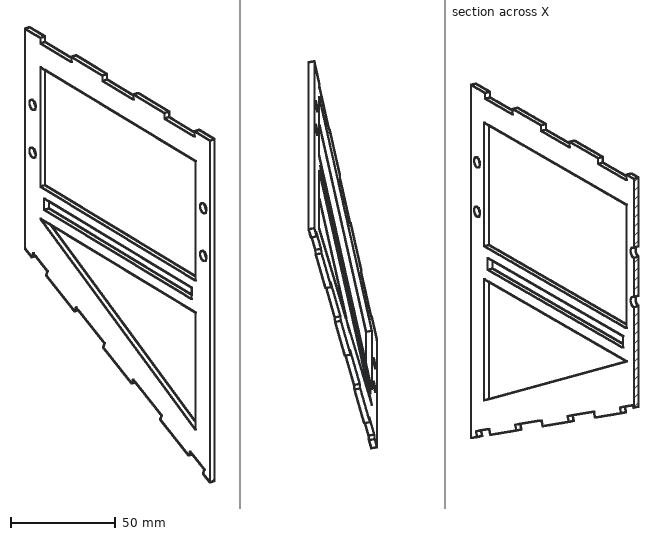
import cadquery as cq
import math

width = 151.52
right_height = 181.82
left_height = 117.0
thickness = 2.87

finger_length = 25.4
notch_depth = thickness
top_end_tab = finger_length / 2
top_notch_count = 3
slope_tab_count = 3
slope_end_notch = finger_length / 2

frame_side = 12.7
opening_width = 127.0
window_top = notch_depth + frame_side
window_height = 63.5
slot_inset = frame_side / 4
slot_top = 84.15
slot_height = 6.0
triangle_top = 96.1
triangle_height = 62.3

hole_diameter = 5.08
hole_edge_distance = 6.35
hole_span = opening_width + frame_side
hole_pitch = 25.4
upper_hole_depth = 38.1

slope_drop = right_height - left_height
slope_length = math.hypot(width, slope_drop)
slope_pattern_length = 2 * slope_tab_count * finger_length
slope_end_tab = (slope_length - slope_pattern_length) / 2
slope_angle = math.degrees(math.atan2(slope_drop, width))


def prism(points):
    """Solid through the full thickness with the given (x, z) outline."""
    return cq.Workplane("XZ").polyline(points).close().extrude(-thickness)


def box(left, right, top, height):
    """Rectangular prism whose upper side lies at a depth below the top edge."""
    return prism([(left, -top), (right, -top), (right, -top - height), (left, -top - height)])


def make_blank():
    return prism([(0, 0), (width, 0), (width, -right_height), (0, -left_height)])


def cut_top_notches(plate):
    """Finger-length notches, the last one shortened to leave equal end tabs."""
    last_notch_end = width - top_end_tab
    for index in range(top_notch_count):
        start = top_end_tab + 2 * index * finger_length
        end = min(start + finger_length, last_notch_end)
        plate = plate.cut(box(start, end, 0, notch_depth))
    return plate


def cut_slope_notches(plate):
    """Three full tabs centered on the sloped edge, with a half-length notch at each end."""
    pattern_start = slope_end_tab
    pattern_end = slope_length - slope_end_tab
    first_tab_start = pattern_start + slope_end_notch
    last_tab_end = pattern_end - slope_end_notch
    notches = [(pattern_start, first_tab_start), (last_tab_end, pattern_end)]
    for index in range(slope_tab_count - 1):
        start = first_tab_start + (2 * index + 1) * finger_length
        notches.append((start, start + finger_length))
    for start, end in notches:
        notch = box(start, end, -notch_depth, notch_depth)
        notch = notch.rotate((0, 0, 0), (0, 1, 0), slope_angle)
        plate = plate.cut(notch.translate((0, 0, -left_height)))
    return plate


def cut_openings(plate):
    opening_right = frame_side + opening_width
    window = box(frame_side, opening_right, window_top, window_height)
    slot = box(frame_side + slot_inset, opening_right - slot_inset, slot_top, slot_height)
    triangle = prism([
        (frame_side, -triangle_top),
        (opening_right, -triangle_top),
        (opening_right, -triangle_top - triangle_height),
    ])
    return plate.cut(window).cut(slot).cut(triangle)


def cut_bolt_holes(plate):
    centers = [
        (hole_edge_distance + column * hole_span, -upper_hole_depth - row * hole_pitch)
        for column in range(2)
        for row in range(2)
    ]
    holes = cq.Workplane("XZ").pushPoints(centers).circle(hole_diameter / 2).extrude(-thickness)
    return plate.cut(holes)


result = make_blank()
result = cut_top_notches(result)
result = cut_slope_notches(result)
result = cut_openings(result)
result = cut_bolt_holes(result)